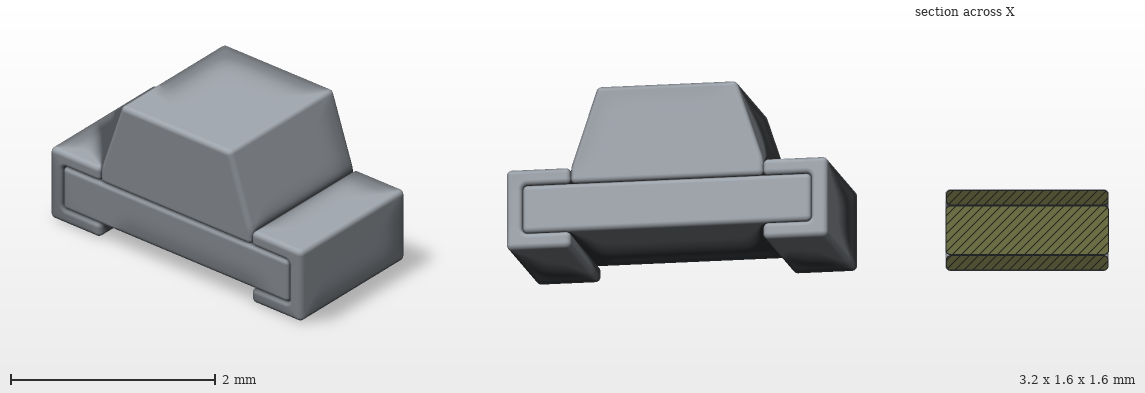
import cadquery as cq

LENGTH = 3.2
DEPTH = 1.6
HEIGHT = 1.6

EDGE_RADIUS = 0.05

TERMINAL_LENGTH = 0.64
TERMINAL_HEIGHT = 0.8
TERMINAL_WALL = 0.16

LENS_TOP_LENGTH = 1.385
LENS_KINK_RADIUS = 0.3

BOARD_LENGTH = LENGTH - 2 * TERMINAL_WALL
BOARD_THICKNESS = TERMINAL_HEIGHT - 2 * TERMINAL_WALL
BOARD_TOP = TERMINAL_WALL + BOARD_THICKNESS
LENS_FOOT_LENGTH = LENGTH - 2 * TERMINAL_LENGTH


def centred_box(length, thickness, bottom):
    """Full-depth box centred in X and Y, standing on height `bottom`."""
    return (
        cq.Workplane("XY")
        .workplane(offset=bottom)
        .box(length, DEPTH, thickness, centered=(True, True, False))
    )


def make_board():
    """Flat board with every edge rounded."""
    return centred_box(BOARD_LENGTH, BOARD_THICKNESS, TERMINAL_WALL).edges().fillet(EDGE_RADIUS)


def make_terminal(side):
    """C-shaped clip at the -X end (side = -1) or the +X end (side = +1)."""
    outer = side * LENGTH / 2
    web = side * BOARD_LENGTH / 2
    tip = side * (LENGTH / 2 - TERMINAL_LENGTH)
    profile = [
        (outer, 0),
        (tip, 0),
        (tip, TERMINAL_WALL),
        (web, TERMINAL_WALL),
        (web, BOARD_TOP),
        (tip, BOARD_TOP),
        (tip, TERMINAL_HEIGHT),
        (outer, TERMINAL_HEIGHT),
    ]
    clip = cq.Workplane("XZ").polyline(profile).close().extrude(DEPTH / 2, both=True)
    return clip.edges().fillet(EDGE_RADIUS)


def make_lens():
    """Lens with a straight foot between the terminals and tapered sides above it."""
    foot = LENS_FOOT_LENGTH / 2
    top = LENS_TOP_LENGTH / 2
    profile = [
        (-foot, BOARD_TOP),
        (foot, BOARD_TOP),
        (foot, TERMINAL_HEIGHT),
        (top, HEIGHT),
        (-top, HEIGHT),
        (-foot, TERMINAL_HEIGHT),
    ]
    block = cq.Workplane("XZ").polyline(profile).close().extrude(DEPTH / 2, both=True)

    kinks = cq.selectors.BoxSelector(
        (-LENGTH, -DEPTH, TERMINAL_HEIGHT - EDGE_RADIUS),
        (LENGTH, DEPTH, TERMINAL_HEIGHT + EDGE_RADIUS),
    )
    block = block.edges("|Y").edges(kinks).fillet(LENS_KINK_RADIUS)

    return block.faces("<Y or >Y or >Z or <Z").edges().fillet(EDGE_RADIUS)


board = make_board()
terminals = [make_terminal(side) for side in (-1, 1)]
lens = make_lens()

result = cq.Compound.makeCompound([board.val(), *[t.val() for t in terminals], lens.val()])